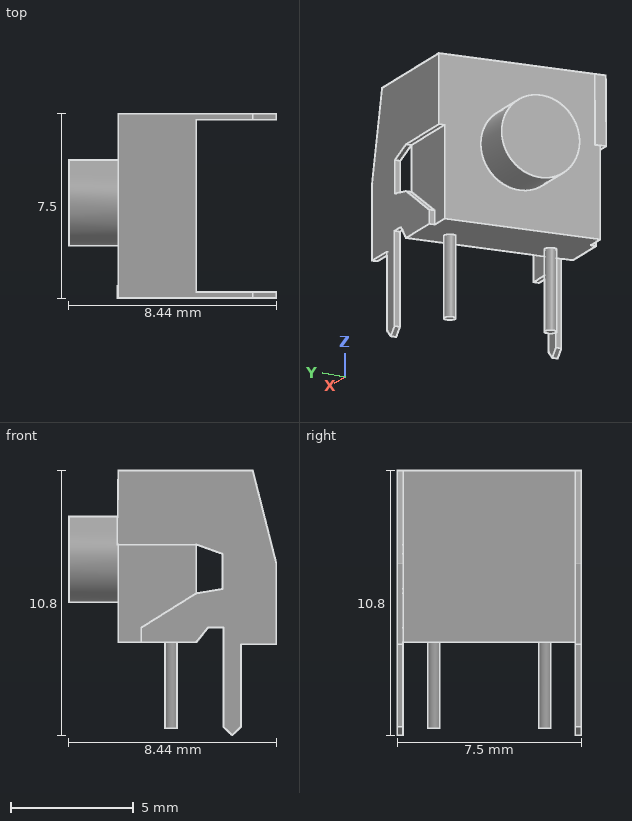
import cadquery as cq


body_depth = 3.18
body_height = 7.0
overall_width = 7.5
plate_thickness = 0.25
body_width = overall_width - 2 * plate_thickness

button_diameter = 3.5
button_length = 2.0
button_y = 0.12
button_z = 3.38

pin_diameter = 0.5
pin_length = 3.5
pin_x = 2.15
pin_spacing = 4.52

plate_rear_x = 6.44
plate_top_rear_x = 5.48
slope_end_z = 3.22
wing_bottom_z = 3.98
column_front_x = 4.24
column_front_top_z = 3.6
column_front_bottom_z = 2.18
arm_root_z = 2.0
arm_tip_x = 0.94
arm_tip_z = 0.6
notch_z = 0.6
notch_front_x = 3.66
leg_front_x = 4.28
leg_rear_x = 5.0
leg_tip_x = (leg_front_x + leg_rear_x) / 2
leg_taper_z = -3.44
leg_tip_z = -3.78
column_bottom_z = -0.08

pad_width = 0.5
pad_projection = 0.04


def make_body():
    """Block that is as wide as the whole part above the lower edge of the wings."""
    core = cq.Workplane("XY").box(body_depth, body_width, body_height, centered=(False, True, False))
    upper_height = body_height - wing_bottom_z
    upper = (
        cq.Workplane("XY")
        .workplane(offset=wing_bottom_z)
        .box(body_depth, overall_width, upper_height, centered=(False, True, False))
    )
    return core.union(upper)


def make_button():
    """Cylinder that stands out from the front face along -X."""
    return (
        cq.Workplane("YZ")
        .center(button_y, button_z)
        .circle(button_diameter / 2)
        .extrude(-button_length)
    )


def make_side_plate(plus_y_face):
    """Flat plate that extends toward -Y from its face at plus_y_face."""
    outline = [
        (0, body_height),
        (plate_top_rear_x, body_height),
        (plate_rear_x, slope_end_z),
        (plate_rear_x, column_bottom_z),
        (leg_rear_x, column_bottom_z),
        (leg_rear_x, leg_taper_z),
        (leg_tip_x, leg_tip_z),
        (leg_front_x, leg_taper_z),
        (leg_front_x, notch_z),
        (notch_front_x, notch_z),
        (body_depth, 0),
        (arm_tip_x, 0),
        (arm_tip_x, arm_tip_z),
        (body_depth, arm_root_z),
        (column_front_x, column_front_bottom_z),
        (column_front_x, column_front_top_z),
        (body_depth, wing_bottom_z),
        (0, wing_bottom_z),
    ]
    return (
        cq.Workplane("XZ", origin=(0, plus_y_face, 0))
        .polyline(outline)
        .close()
        .extrude(plate_thickness)
    )


def make_pins():
    """Two round pins below the block."""
    return (
        cq.Workplane("XY")
        .pushPoints([(pin_x, -pin_spacing / 2), (pin_x, pin_spacing / 2)])
        .circle(pin_diameter / 2)
        .extrude(-pin_length)
    )


def make_front_pad():
    """Thin wedge, flush with the block at the top and proud of it at the bottom."""
    profile = [(0, body_height), (0, wing_bottom_z), (-pad_projection, wing_bottom_z)]
    return (
        cq.Workplane("XZ", origin=(0, pad_width - overall_width / 2, 0))
        .polyline(profile)
        .close()
        .extrude(pad_width)
    )


result = make_body().union(make_button()).union(make_pins()).union(make_front_pad())
for plate_y in (overall_width / 2, plate_thickness - overall_width / 2):
    result = result.union(make_side_plate(plate_y))